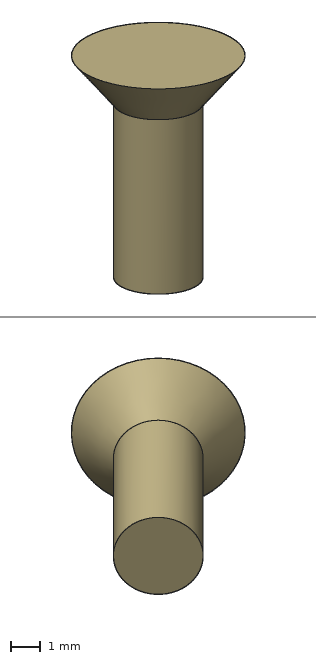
import cadquery as cq

total_length = 8
head_diameter = 5.8
shank_diameter = 3.0
head_height = 1.7

head_radius = head_diameter / 2
shank_radius = shank_diameter / 2
shank_length = total_length - head_height

half_section = (
    cq.Workplane("XZ")
    .moveTo(0, 0)
    .lineTo(shank_radius, 0)
    .lineTo(shank_radius, shank_length)
    .lineTo(head_radius, total_length)
    .lineTo(0, total_length)
    .close()
)

result = half_section.revolve(360, (0, 0, 0), (0, 1, 0))